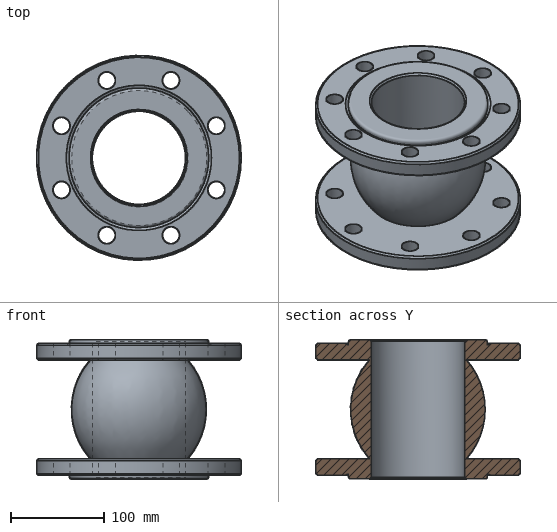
import cadquery as cq
import math


length = 150.0
bore_diameter = 100.0
bore_chamfer = 2.0
bevel_angle = 45.0

bellows_radius = 72.5
bellows_end_radius = 52.5

flange_diameter = 220.0
flange_thickness = 18.0
flange_rim_chamfer = 2.0

face_diameter = 150.0
face_height = 4.0
face_edge_radius = 3.0
seat_bevel_width = 3.0
seat_bevel_depth = 1.5

bolt_circle_diameter = 180.0
bolt_hole_diameter = 18.0
bolt_hole_count = 8
first_bolt_angle = 180.0 / bolt_hole_count

seat_bevel_angle = math.degrees(math.atan2(seat_bevel_width, seat_bevel_depth))
flange_outer_z = length / 2 - face_height
flange_inner_z = flange_outer_z - flange_thickness


def make_flange():
    """Upper flange ring with bevelled rim, bevelled face seat and bolt holes."""
    disc = (
        cq.Workplane("XY", origin=(0, 0, flange_inner_z))
        .circle(flange_diameter / 2)
        .extrude(flange_thickness)
        .edges()
        .chamfer(flange_rim_chamfer)
    )
    bolt_holes = (
        cq.Workplane("XY", origin=(0, 0, flange_inner_z))
        .polarArray(bolt_circle_diameter / 2, first_bolt_angle, 360, bolt_hole_count)
        .circle(bolt_hole_diameter / 2)
        .extrude(flange_thickness)
    )
    seat = (
        cq.Workplane("XY", origin=(0, 0, flange_outer_z))
        .circle(face_diameter / 2 + seat_bevel_width)
        .extrude(-seat_bevel_depth, taper=seat_bevel_angle)
    )
    return disc.cut(bolt_holes).cut(seat)


def make_raised_face():
    """Upper sealing disc, rounded at its outer edge and filling the seat."""
    return (
        cq.Workplane("XY", origin=(0, 0, flange_outer_z - seat_bevel_depth))
        .circle(face_diameter / 2)
        .extrude(face_height + seat_bevel_depth)
        .faces(">Z")
        .edges()
        .fillet(face_edge_radius)
    )


def make_bellows():
    """Solid bellows body between the inner flange faces: a barrel with a round flank."""
    return (
        cq.Workplane("XZ")
        .moveTo(0, -flange_inner_z)
        .lineTo(bellows_end_radius, -flange_inner_z)
        .threePointArc((bellows_radius, 0), (bellows_end_radius, flange_inner_z))
        .lineTo(0, flange_inner_z)
        .close()
        .revolve()
    )


def make_bore():
    """Straight through bore widened by a bevel at both ends."""
    bore = cq.Workplane("XY").cylinder(length, bore_diameter / 2)
    upper_bevel = (
        cq.Workplane("XY", origin=(0, 0, length / 2))
        .circle(bore_diameter / 2 + bore_chamfer)
        .extrude(-bore_chamfer, taper=bevel_angle)
    )
    return bore.union(upper_bevel).union(upper_bevel.mirror("XY"))


upper_end = make_flange().union(make_raised_face())
lower_end = upper_end.mirror("XY")
result = make_bellows().union(upper_end).union(lower_end).cut(make_bore())